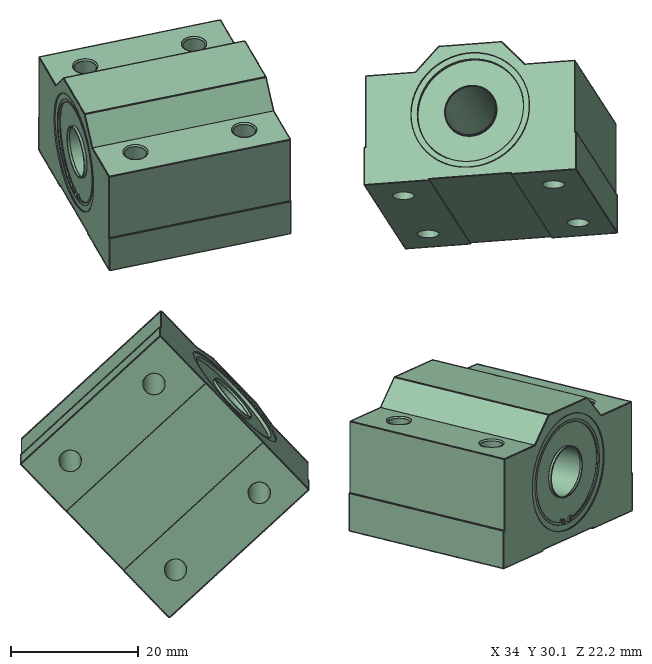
import cadquery as cq

width = 34.0
length = 30.1
height = 22.2
half_length = length / 2

upper_width = 33.6
ledge_height = 6.35
shoulder_height = 18.2
ridge_top_width = 10.13
ridge_base_width = 17.55
relief_width = 13.05
relief_depth = 0.2
edge_chamfer = 0.1

hole_spacing_x = 24.0
hole_spacing_y = 18.0
hole_diameter = 3.47
hole_mouth_diameter = 3.95

axis_height = 11.22
seat_radius = 8.5
recess_radius = 9.5
recess_depth = 0.2

shaft_radius = 4.0
lip_radius = 4.15
lip_length = 0.45
bearing_length = 28.6

ring_thickness = 0.27
ring_inner_radius = 8.1
lug_radius = 0.5
lug_hole_radius = 0.25
lug_offset = 1.1
lug_drop = 8.02
ring_gap = 2 * (lug_offset - lug_radius)

recess_floor = half_length - recess_depth
ring_back = recess_floor - ring_thickness
bearing_face = bearing_length / 2
lip_end = bearing_face + lip_length


def disc(radius, y_front, y_back):
    """Solid cylinder on the shaft axis between two Y positions."""
    return (
        cq.Workplane("XZ", origin=(0, y_front, axis_height))
        .circle(radius)
        .extrude(y_front - y_back)
    )


def make_block():
    """Stepped block with a ridge on top, a foot relief below and broken outer edges."""
    bottom_corner = (width / 2, 0)
    ledge_corner = (width / 2, ledge_height)
    shoulder_corner = (upper_width / 2, shoulder_height)
    ridge_corner = (ridge_top_width / 2, height)
    right_side = [
        (relief_width / 2, relief_depth),
        (relief_width / 2, 0),
        bottom_corner,
        ledge_corner,
        (upper_width / 2, ledge_height),
        shoulder_corner,
        (ridge_base_width / 2, shoulder_height),
        ridge_corner,
    ]
    left_side = [(-x, z) for x, z in reversed(right_side)]
    block = (
        cq.Workplane("XZ")
        .polyline(right_side + left_side)
        .close()
        .extrude(half_length, both=True)
    )
    for x, z in (bottom_corner, ledge_corner, shoulder_corner, ridge_corner):
        for side in (-1, 1):
            corner_edge = cq.NearestToPointSelector((side * x, 0, z))
            block = block.edges("|Y").edges(corner_edge).chamfer(edge_chamfer)
    return block.faces("<Y or >Y").edges().chamfer(edge_chamfer)


def make_mounting_holes():
    """Four vertical through holes with chamfered upper mouths."""
    mouth_depth = (hole_mouth_diameter - hole_diameter) / 2
    holes = (
        cq.Workplane("XY")
        .rarray(hole_spacing_x, hole_spacing_y, 2, 2)
        .circle(hole_diameter / 2)
        .extrude(shoulder_height)
    )
    mouths = (
        cq.Workplane("XY", origin=(0, 0, shoulder_height))
        .rarray(hole_spacing_x, hole_spacing_y, 2, 2)
        .circle(hole_mouth_diameter / 2)
        .extrude(-mouth_depth, taper=45)
    )
    return holes.union(mouths)


def make_housing():
    seat = disc(seat_radius, -half_length, half_length)
    front_recess = disc(recess_radius, -half_length, -recess_floor)
    back_recess = disc(recess_radius, recess_floor, half_length)
    return make_block().cut(make_mounting_holes()).cut(seat).cut(front_recess).cut(back_recess)


def make_bearing():
    shell = disc(seat_radius, -bearing_face, bearing_face)
    lips = disc(lip_radius, -lip_end, lip_end)
    bore = disc(shaft_radius, -lip_end, lip_end)
    return shell.union(lips).cut(bore)


def make_ring():
    """Open ring in the front end of the seat, clear of the bearing, with a drilled lug at each end."""
    envelope = disc(seat_radius, -recess_floor, -ring_back)
    plane = cq.Workplane("XZ", origin=(0, -recess_floor, axis_height))
    lug_centers = [(-lug_offset, -lug_drop), (lug_offset, -lug_drop)]

    band = envelope.cut(disc(ring_inner_radius, -recess_floor, -ring_back))
    gap = plane.center(0, -lug_drop).rect(ring_gap, 4 * lug_radius).extrude(-ring_thickness)
    lug_heads = plane.pushPoints(lug_centers).circle(lug_radius).extrude(-ring_thickness)
    lug_roots = (
        plane.pushPoints([(x, z - lug_radius / 2) for x, z in lug_centers])
        .rect(2 * lug_radius, lug_radius)
        .extrude(-ring_thickness)
    )
    lugs = lug_heads.union(lug_roots).intersect(envelope)
    lug_holes = plane.pushPoints(lug_centers).circle(lug_hole_radius).extrude(-ring_thickness)
    return band.cut(gap).union(lugs).cut(lug_holes)


housing = make_housing().solids()
bearing = make_bearing().solids()
ring = make_ring().solids()
result = cq.Compound.makeCompound([housing.val(), bearing.val(), ring.val()])